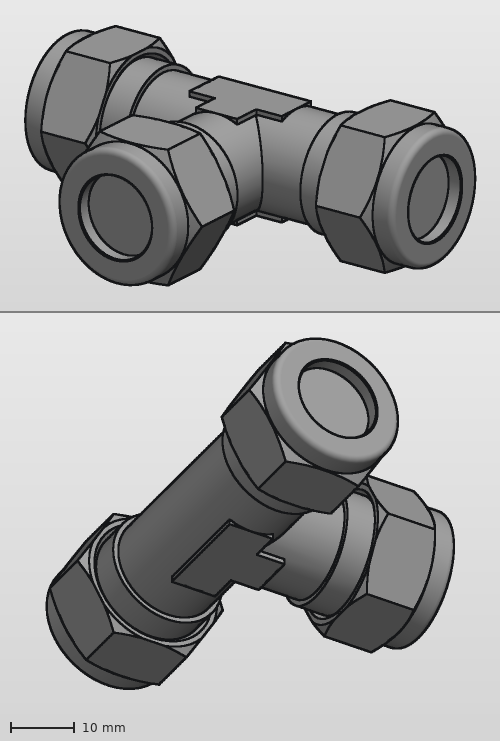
import cadquery as cq
import math


arm_length = 36.0
pipe_diameter = 18.0
collar_diameter = 19.9
cap_diameter = 22.75
nut_across_flats = 23.0
nut_across_corners = nut_across_flats / math.cos(math.radians(30))

cap_length = 3.9
nut_length = 10.6
collar_length = 4.5
cap_fillet = 1.0

nut_chamfer_angle = 30.0
nut_outer_face_diameter = cap_diameter
nut_inner_face_diameter = 23.3

countersink_diameter = 21.4
countersink_depth = (countersink_diameter - collar_diameter) / 2

bore_diameter = 14.05
bore_depth = 2.5
bore_chamfer = 0.18

block_width = pipe_diameter
block_height = pipe_diameter
block_bar_depth = 7.85
block_stem_width = 8.1
block_stem_reach = pipe_diameter / 2

nut_outer_end = arm_length - cap_length
nut_inner_end = nut_outer_end - nut_length
collar_end = nut_inner_end - collar_length


def cylinder(diameter, start, end):
    """Cylinder along +Z between two heights."""
    return cq.Workplane("XY").workplane(offset=start).circle(diameter / 2).extrude(end - start)


def chamfer_length(face_diameter):
    """Axial length of a nut chamfer, from its face circle out to the hexagon corners."""
    radial_drop = (nut_across_corners - face_diameter) / 2
    return radial_drop * math.tan(math.radians(nut_chamfer_angle))


def make_nut():
    """Hexagon along +Z with two corners on the X axis, trimmed by a turned blank."""
    hexagon = (
        cq.Workplane("XY")
        .workplane(offset=nut_inner_end)
        .polygon(6, nut_across_corners)
        .extrude(nut_length)
    )
    corner_radius = nut_across_corners / 2
    profile = [
        (0, nut_inner_end + countersink_depth),
        (collar_diameter / 2, nut_inner_end + countersink_depth),
        (countersink_diameter / 2, nut_inner_end),
        (nut_inner_face_diameter / 2, nut_inner_end),
        (corner_radius, nut_inner_end + chamfer_length(nut_inner_face_diameter)),
        (corner_radius, nut_outer_end - chamfer_length(nut_outer_face_diameter)),
        (nut_outer_face_diameter / 2, nut_outer_end),
        (0, nut_outer_end),
    ]
    blank = cq.Workplane("XZ").polyline(profile).close().revolve(360, (0, 0, 0), (0, 1, 0))
    return hexagon.intersect(blank)


def make_arm():
    """One arm along -Y: pipe, collar, nut and rounded end cap with a blind bore."""
    pipe = cylinder(pipe_diameter, 0, collar_end)
    collar = cylinder(collar_diameter, collar_end, nut_inner_end + countersink_depth)
    cap = cylinder(cap_diameter, nut_outer_end, arm_length).faces(">Z").edges().fillet(cap_fillet)
    bore = cylinder(bore_diameter, arm_length - bore_depth, arm_length)
    arm = pipe.union(collar).union(make_nut()).union(cap).cut(bore)
    rim = cq.selectors.RadiusNthSelector(0)
    arm = arm.faces(">Z").edges(rim).chamfer(bore_chamfer)
    return arm.rotate((0, 0, 0), (1, 0, 0), 90)


def make_block():
    """T-shaped prism whose flat faces lie level with the top and bottom of the pipes."""
    bar = cq.Workplane("XY").box(block_width, block_bar_depth, block_height)
    stem = (
        cq.Workplane("XY")
        .box(block_stem_width, block_stem_reach, block_height)
        .translate((0, -block_stem_reach / 2, 0))
    )
    return bar.union(stem)


result = make_block()
for turn in (-90, 0, 90):
    result = result.union(make_arm().rotate((0, 0, 0), (0, 0, 1), turn))